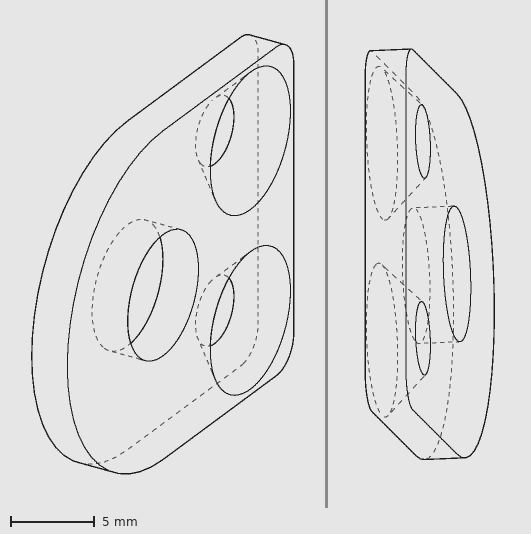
import cadquery as cq

length = 26.0
height = 22.0
thickness = 2.5
corner_radius = 2.0
main_hole_diameter = 8.1
small_hole_diameter = 4.4
small_hole_far_diameter = 9.2
small_hole_spacing = 12.0
small_hole_edge_distance = 5.0

end_radius = height / 2
flat_end_y = length - end_radius
small_hole_y = flat_end_y - small_hole_edge_distance


def plate():
    """Plate with a full round end at -Y and a flat end at +Y with rounded corners."""
    blank = (
        cq.Workplane("YZ")
        .moveTo(flat_end_y, end_radius)
        .lineTo(0, end_radius)
        .threePointArc((-end_radius, 0), (0, -end_radius))
        .lineTo(flat_end_y, -end_radius)
        .close()
        .extrude(thickness)
    )
    return blank.edges("|X and >Y").fillet(corner_radius)


def through_hole(diameter, y, z):
    """Cylinder that cuts a hole through the plate along X."""
    return cq.Workplane("YZ").center(y, z).circle(diameter / 2).extrude(thickness)


def tapered_hole(y, z):
    """Cone that widens through the full thickness, from the X = 0 face to the +X face."""
    return (
        cq.Workplane("YZ")
        .center(y, z)
        .circle(small_hole_diameter / 2)
        .workplane(offset=thickness)
        .circle(small_hole_far_diameter / 2)
        .loft()
    )


result = plate().cut(through_hole(main_hole_diameter, 0, 0))
for side in (-1, 1):
    small_hole_z = side * small_hole_spacing / 2
    result = result.cut(tapered_hole(small_hole_y, small_hole_z))